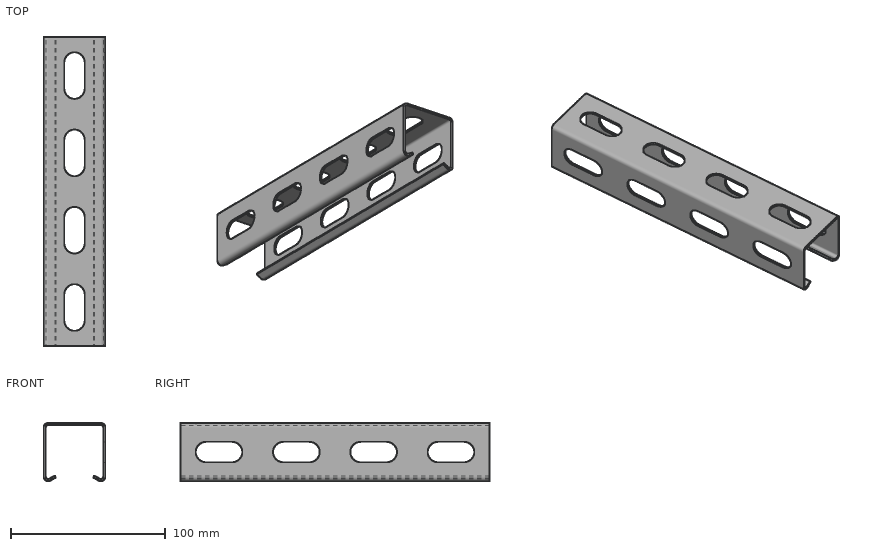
import cadquery as cq
import math

width = 40.0
height = 37.8
length = 200.0
thickness = 1.5
bend_radius = 3.0
lip_angle = 30.0
lip_opening = 24.0

slot_length = 30.0
slot_width = 13.0
slot_pitch = 50.0
slot_count = 4
side_slot_height = height / 2

inner_radius = bend_radius - thickness
half_width = width / 2
bend_x = half_width - bend_radius
top_bend_z = height - bend_radius
bottom_bend_z = bend_radius

slope = math.radians(lip_angle)
bend_sweep = math.pi / 2 + slope

lip_start_x = bend_x - bend_radius * math.sin(slope)
lip_length = (lip_start_x - lip_opening / 2) / math.cos(slope)


def bottom_bend_point(radius, angle):
    """Point on a lower +X bend at the given angle below horizontal."""
    return (bend_x + radius * math.cos(angle), bottom_bend_z - radius * math.sin(angle))


def lip_end(radius):
    """Free end of the +X lip surface that continues the bend of the given radius."""
    start_x, start_z = bottom_bend_point(radius, bend_sweep)
    return (start_x - lip_length * math.cos(slope), start_z + lip_length * math.sin(slope))


def top_bend_middle(radius):
    """Middle of the upper +X bend arc."""
    offset = radius * math.sqrt(0.5)
    return (bend_x + offset, top_bend_z + offset)


def half_channel():
    """The +X half of the channel, from the mid plane to the lip."""
    profile = (
        cq.Workplane("XZ")
        .moveTo(0, height)
        .lineTo(bend_x, height)
        .threePointArc(top_bend_middle(bend_radius), (half_width, top_bend_z))
        .lineTo(half_width, bottom_bend_z)
        .threePointArc(
            bottom_bend_point(bend_radius, bend_sweep / 2),
            bottom_bend_point(bend_radius, bend_sweep),
        )
        .lineTo(*lip_end(bend_radius))
        .lineTo(*lip_end(inner_radius))
        .lineTo(*bottom_bend_point(inner_radius, bend_sweep))
        .threePointArc(
            bottom_bend_point(inner_radius, bend_sweep / 2),
            bottom_bend_point(inner_radius, 0),
        )
        .lineTo(half_width - thickness, top_bend_z)
        .threePointArc(top_bend_middle(inner_radius), (bend_x, height - thickness))
        .lineTo(0, height - thickness)
        .close()
    )
    return profile.extrude(length / 2, both=True)


def slot_row(plane):
    """Sketch of the evenly spaced slots, end to end along the plane's local X."""
    return plane.rarray(slot_pitch, 1, slot_count, 1).slot2D(slot_length, slot_width)


def top_slots():
    """Cutters for the row of slots through the top web only."""
    web_underside = cq.Plane(origin=(0, 0, height - thickness), xDir=(0, 1, 0), normal=(0, 0, 1))
    return slot_row(cq.Workplane(web_underside)).extrude(thickness)


def side_slots():
    """Cutters for the matching rows of slots through both side walls."""
    middle_plane = cq.Workplane("YZ", origin=(0, 0, side_slot_height))
    return slot_row(middle_plane).extrude(half_width, both=True)


half = half_channel()
channel = half.union(half.mirror("YZ")).clean()
result = channel.cut(top_slots()).cut(side_slots())